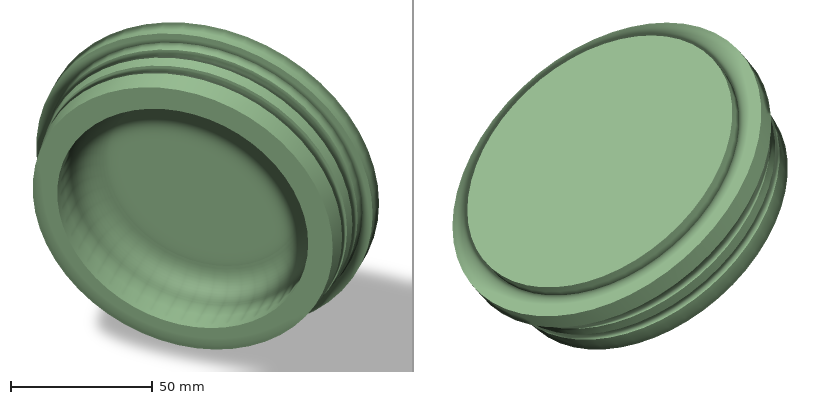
import cadquery as cq
import math

total_length = 36.0
boss_length = 5.0
flange_length = 7.0
front_land_length = 7.5
front_groove_width = 4.0
middle_land_length = 4.3
back_groove_width = 4.3

flange_radius = 62.9
boss_radius = 54.0
plug_tip_radius = 56.1
front_groove_radius = 54.5
back_groove_radius = 55.6
groove_fillet = 1.5

plug_taper = 7.0

recess_radius = 46.9
recess_depth = 24.5
recess_fillet = 10.0

flange_back = total_length - boss_length
plug_length = flange_back - flange_length
plug_base_radius = plug_tip_radius + plug_length * math.tan(math.radians(plug_taper))
front_groove_start = front_land_length
back_groove_start = front_groove_start + front_groove_width + middle_land_length


def disc(radius, start, length):
    """Solid cylinder about the Y axis, from start toward +Y."""
    plane = cq.Workplane("XZ", origin=(0, start, 0))
    return plane.circle(radius).extrude(-length)


def groove_cutter(floor_radius, start, width):
    """Ring that cuts a groove with rounded floor corners."""
    corner_arc = groove_fillet * (1 - math.sqrt(0.5))
    end = start + width
    shoulder_radius = floor_radius + groove_fillet
    ring = (
        cq.Workplane("XY")
        .moveTo(flange_radius, start)
        .lineTo(shoulder_radius, start)
        .threePointArc(
            (floor_radius + corner_arc, start + corner_arc),
            (floor_radius, start + groove_fillet),
        )
        .lineTo(floor_radius, end - groove_fillet)
        .threePointArc(
            (floor_radius + corner_arc, end - corner_arc),
            (shoulder_radius, end),
        )
        .lineTo(flange_radius, end)
        .close()
    )
    return ring.revolve(360, (0, 0, 0), (0, 1, 0))


plug = (
    cq.Workplane("XY")
    .polyline([(0, 0), (plug_tip_radius, 0), (plug_base_radius, plug_length), (0, plug_length)])
    .close()
    .revolve(360, (0, 0, 0), (0, 1, 0))
)
plug = plug.cut(groove_cutter(front_groove_radius, front_groove_start, front_groove_width))
plug = plug.cut(groove_cutter(back_groove_radius, back_groove_start, back_groove_width))

flange = disc(flange_radius, plug_length, flange_length)
boss = disc(boss_radius, flange_back, boss_length)

recess = disc(recess_radius, 0, recess_depth).faces(">Y").edges().fillet(recess_fillet)

result = plug.union(flange).union(boss).cut(recess)